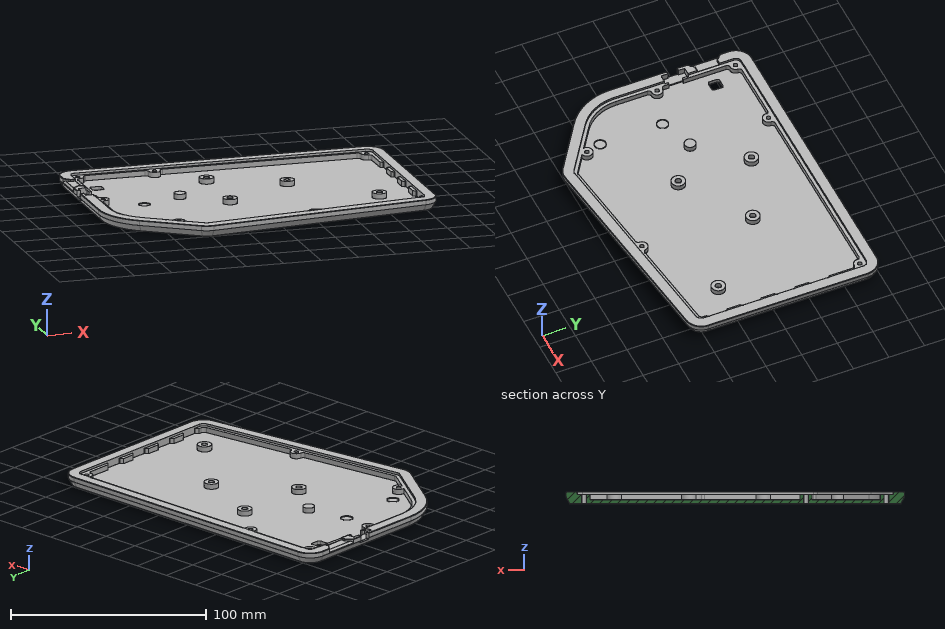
import cadquery as cq
import math

length = 173.4
width = 122.5
height = 6.0
half_length = length / 2
half_width = width / 2

floor_top = 2.0
ledge_top = 4.9
skirt_top = 3.5
skirt_inset = 1.9
rim_chamfer = 0.26

corner_radius = 9.0
sweep_radius = 32.0
left_slope = math.radians(34.4)
bottom_slope = math.radians(7.15)
nose_x = -40.4
smallest_inner_radius = 2.0

rim_width = 5.9
ledge_width = 1.9

lug_diameter = 6.2
lug_hole_diameter = 2.3
lug_fillet = 1.5
lug_back_y = 51.8
lug_left_x = -77.3
blended_lugs = [
    (lug_left_x, lug_back_y),
    (-36.2, lug_back_y),
    (-lug_left_x, lug_back_y),
    (lug_left_x, 7.8),
    (20.3, -44.7),
]
plain_lug = (-52.4, -42.8)
lug_centers = blended_lugs + [plain_lug]

post_diameter = 7.5
post_hole_diameter = 3.1
post_centers = [(-14.4, 32.5), (23.8, 16.0), (-14.4, -8.7), (61.9, -20.6)]
pin_diameter = 6.0
pin_center = (-36.2, 7.8)
recess_diameter = 6.2
recess_depth = 0.5
recess_centers = [(-57.0, 1.7), (-57.0, -33.3)]

window_size = 6.2
window_radius = 1.0
window_center = (-71.3, 38.0)

relief_mouth_length = 11.8
relief_flare = 1.4
relief_pitch = 19.0
relief_count = 4
relief_center_y = -0.5

notch_center_y = 38.1
notch_inner_length = 12.1
notch_floor = 5.0
notch_lip_height = 4.0
notch_lip_width = 1.0
notch_flare = 3.1

slot_outer_x = -84.8
slot_inner_x = -80.1
slot_back_y = 26.7
slot_front_y = 13.5
slot_floor = 2.8
port_back_y = 23.2
port_front_y = 17.3
sill_start_x = -85.5
ledge_gap_front_y = 15.3


def line_crossing(first, second):
    """Crossing of two lines, each given as a unit normal angle and an offset from the origin."""
    (a, p), (b, q) = first, second
    det = math.sin(b - a)
    x = (p * math.sin(b) - q * math.sin(a)) / det
    y = (q * math.cos(a) - p * math.cos(b)) / det
    return x, y


def tangent_offset(normal, center, radius):
    """Distance from the origin to the tangent of a circle in the given normal direction."""
    return center[0] * math.cos(normal) + center[1] * math.sin(normal) + radius


def outline(inset, z, depth):
    """Body outline moved inward and extruded upward from z."""
    nose_center = (nose_x, -half_width + corner_radius)
    left_normal = -math.pi / 2 - left_slope
    bottom_normal = -math.pi / 2 + bottom_slope
    sides = [
        (math.pi / 2, half_width - inset),
        (math.pi, half_length - inset),
        (left_normal, tangent_offset(left_normal, nose_center, corner_radius) - inset),
        (bottom_normal, tangent_offset(bottom_normal, nose_center, corner_radius) - inset),
        (0.0, half_length - inset),
    ]
    corners = [line_crossing(sides[i - 1], sides[i]) for i in range(len(sides))]
    radii = [corner_radius, corner_radius, sweep_radius, corner_radius, corner_radius]
    body = cq.Workplane("XY").workplane(offset=z).polyline(corners).close().extrude(depth)
    for (x, y), radius in zip(corners, radii):
        near = cq.selectors.NearestToPointSelector((x, y, z + depth / 2))
        body = body.edges("|Z").edges(near).fillet(max(radius - inset, smallest_inner_radius))
    return body


def block(x_min, x_max, y_min, y_max, z_min, z_max):
    """Axis-aligned box between two corners."""
    size = (x_max - x_min, y_max - y_min, z_max - z_min)
    return cq.Workplane("XY").box(*size, centered=False).translate((x_min, y_min, z_min))


def cylinders(centers, diameter, z_min, z_max):
    """Upright cylinders at the given centers."""
    plane = cq.Workplane("XY").workplane(offset=z_min)
    return plane.pushPoints(centers).circle(diameter / 2).extrude(z_max - z_min)


def shell_body():
    """Upright rim with a chamfered top edge over a skirt that tapers in toward the underside."""
    rim = outline(0, skirt_top, height - skirt_top).faces(">Z").edges().chamfer(rim_chamfer)
    upper_wire = outline(0, skirt_top, 1.7).faces("<Z").wires().val()
    lower_wire = outline(skirt_inset, 0, 1.7).faces("<Z").wires().val()
    skirt = cq.Solid.makeLoft([lower_wire, upper_wire], True)
    return rim.union(cq.Workplane(skirt))


def touches_blended_lug(edge):
    """True for an upright edge lying on the cylinder of a screw lug that has fillets."""
    point = edge.Center()
    distances = [math.hypot(point.x - x, point.y - y) for x, y in blended_lugs]
    return any(abs(distance - lug_diameter / 2) < 0.02 for distance in distances)


def floor_cavity():
    """Cavity inside the ledge, going around the screw lugs."""
    depth = ledge_top - floor_top
    cavity = outline(rim_width + ledge_width, floor_top, depth)
    cavity = cavity.cut(cylinders(lug_centers, lug_diameter, floor_top, ledge_top))
    return cavity.edges("|Z").filter(touches_blended_lug).fillet(lug_fillet)


def prism(points, z_min, z_max, taper=0.0):
    """Upright prism on a closed polygon; a negative taper in degrees widens it upward."""
    plane = cq.Workplane("XY").workplane(offset=z_min)
    return plane.polyline(points).close().extrude(z_max - z_min, taper=taper)


def trapezoid(x_wide, x_narrow, x_end, y_center, half_wide, half_narrow):
    """Corner points of a channel along X that flares from x_narrow out to its mouth at x_wide."""
    return [
        (x_wide, y_center - half_wide),
        (x_narrow, y_center - half_narrow),
        (x_end, y_center - half_narrow),
        (x_end, y_center + half_narrow),
        (x_narrow, y_center + half_narrow),
        (x_wide, y_center + half_wide),
    ]


def ledge_relief(y_center):
    """Gap in the right-hand ledge that widens toward the cavity."""
    wall_face = half_length - rim_width
    ledge_face = wall_face - ledge_width
    half_wide = relief_mouth_length / 2
    points = trapezoid(
        ledge_face, ledge_face + relief_flare, wall_face, y_center, half_wide, half_wide - relief_flare
    )
    return prism(points, floor_top, ledge_top)


def side_profile(points):
    """Solid with the given X-Z profile, spanning the full width of the body."""
    return cq.Workplane("XZ").polyline(points).close().extrude(half_width, both=True)


def finger_notch():
    """Flared recess in the top of the left rim, with a 45 degree lip and chamfered upper edges."""
    wall_face = -half_length + rim_width
    half_narrow = notch_inner_length / 2
    points = trapezoid(
        -half_length,
        -half_length + notch_flare,
        wall_face,
        notch_center_y,
        half_narrow + notch_flare,
        half_narrow,
    )
    body = prism(points, notch_lip_height, height)
    lip_profile = side_profile([
        (-half_length, notch_lip_height),
        (-half_length + notch_lip_width, notch_floor),
        (wall_face, notch_floor),
        (wall_face, height),
        (-half_length, height),
    ])
    edge_chamfer = prism(points, height - rim_chamfer, height, taper=-45)
    return body.intersect(lip_profile).union(edge_chamfer)


def connector_slot():
    """Pocket across the left rim, a port to the outside with a 45 degree sill and a gap in the ledge."""
    ledge_face = -half_length + rim_width + ledge_width
    sill_drop = half_length + sill_start_x
    pocket = block(slot_outer_x, slot_inner_x, slot_front_y, slot_back_y, slot_floor, height)
    port = block(-half_length, slot_outer_x, port_front_y, port_back_y, slot_floor, height)
    sill = side_profile([
        (sill_start_x, slot_floor),
        (-half_length, slot_floor),
        (-half_length, slot_floor - sill_drop),
    ])
    sill = sill.intersect(block(-half_length, sill_start_x, port_front_y, port_back_y, 0, slot_floor))
    gap = block(slot_inner_x, ledge_face, ledge_gap_front_y, port_back_y, floor_top, height)
    return pocket.union(port).union(sill).union(gap)


def window():
    """Square hole through the floor with rounded corners."""
    opening = cq.Workplane("XY").rect(window_size, window_size).extrude(height)
    return opening.edges("|Z").fillet(window_radius).translate((*window_center, 0))


result = shell_body()
result = result.cut(outline(rim_width, ledge_top, height - ledge_top))
result = result.cut(floor_cavity())
for index in range(relief_count):
    row_offset = (index - (relief_count - 1) / 2) * relief_pitch
    result = result.cut(ledge_relief(relief_center_y + row_offset))
result = result.cut(finger_notch())
result = result.cut(connector_slot())
result = result.cut(window())
result = result.union(cylinders(post_centers, post_diameter, floor_top, ledge_top))
result = result.union(cylinders([pin_center], pin_diameter, floor_top, ledge_top))
result = result.cut(cylinders(post_centers, post_hole_diameter, floor_top, ledge_top))
result = result.cut(cylinders(recess_centers, recess_diameter, floor_top - recess_depth, floor_top))
result = result.cut(cylinders(lug_centers, lug_hole_diameter, 0, ledge_top))